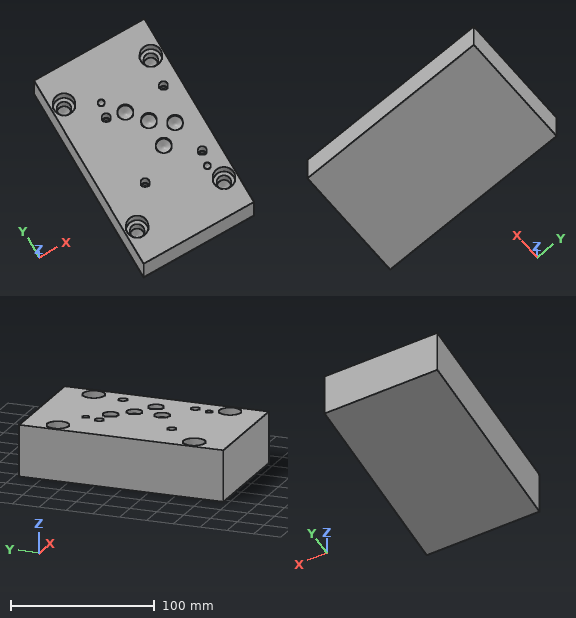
import cadquery as cq
import math

BLOCK_WIDTH = 88.9
BLOCK_LENGTH = 152.4
BLOCK_HEIGHT = 38.1

DRILL_POINT_ANGLE = 118.0

CORNER_SPACING_X = 69.85
CORNER_SPACING_Y = 101.6
COUNTERBORE_DIAMETER = 15.88
COUNTERBORE_DEPTH = 12.7
CORNER_HOLE_DIAMETER = 10.31
CORNER_HOLE_DEPTH = 25.4

VALVE_X = 8.73
VALVE_Y = 0.8

BOLT_SPACING_X = 46.0
BOLT_SPACING_Y = 54.0
THREAD_DIAMETER = 6.35
THREAD_DEPTH = 12.7
TAP_DRILL_DIAMETER = 5.11
TAP_DRILL_DEPTH = 19.05

PORT_DIAMETER = 11.11
PORT_DEPTH = 3.175
WORK_PORT_X = 1.65
WORK_PORT_SPACING = 20.6
PRESSURE_PORT_X = 16.7
TANK_PORT_X = -9.5
TANK_PORT_Y = 23.8

LOCATING_DIAMETER = 4.78
LOCATING_DEPTH = 1.4
LOCATING_SPACING_X = 41.275
LOCATING_SPACING_Y = 76.2


def drilled_hole(x, y, diameter, depth):
    """Cutter for a blind hole from the top face; depth excludes the conical drill point."""
    radius = diameter / 2
    point_length = radius / math.tan(math.radians(DRILL_POINT_ANGLE / 2))
    profile = (
        cq.Workplane("XZ")
        .polyline([(0, 0), (radius, 0), (radius, -depth), (0, -depth - point_length)])
        .close()
    )
    cutter = profile.revolve(360, (0, 0, 0), (0, 1, 0))
    return cutter.translate((x, y, BLOCK_HEIGHT))


def flat_bore(x, y, diameter, depth):
    """Cutter for a flat-bottomed bore from the top face."""
    cutter = cq.Workplane("XY").circle(diameter / 2).extrude(depth)
    return cutter.translate((x, y, BLOCK_HEIGHT - depth))


def rectangle_corners(center_x, center_y, spacing_x, spacing_y):
    """Corner points of a rectangular hole pattern."""
    return [
        (center_x + side_x * spacing_x / 2, center_y + side_y * spacing_y / 2)
        for side_x in (-1, 1)
        for side_y in (-1, 1)
    ]


def cut_corner_holes(body):
    for x, y in rectangle_corners(0, 0, CORNER_SPACING_X, CORNER_SPACING_Y):
        body = body.cut(flat_bore(x, y, COUNTERBORE_DIAMETER, COUNTERBORE_DEPTH))
        body = body.cut(drilled_hole(x, y, CORNER_HOLE_DIAMETER, CORNER_HOLE_DEPTH))
    return body


def cut_bolt_holes(body):
    for x, y in rectangle_corners(VALVE_X, VALVE_Y, BOLT_SPACING_X, BOLT_SPACING_Y):
        body = body.cut(flat_bore(x, y, THREAD_DIAMETER, THREAD_DEPTH))
        body = body.cut(drilled_hole(x, y, TAP_DRILL_DIAMETER, TAP_DRILL_DEPTH))
    return body


def cut_ports(body):
    ports = [
        (WORK_PORT_X, WORK_PORT_SPACING / 2),
        (WORK_PORT_X, -WORK_PORT_SPACING / 2),
        (PRESSURE_PORT_X, 0),
        (TANK_PORT_X, TANK_PORT_Y),
    ]
    for x, y in ports:
        body = body.cut(drilled_hole(VALVE_X + x, VALVE_Y + y, PORT_DIAMETER, PORT_DEPTH))
    return body


def cut_locating_holes(body):
    for side in (-1, 1):
        x = VALVE_X + side * LOCATING_SPACING_X / 2
        y = VALVE_Y - side * LOCATING_SPACING_Y / 2
        body = body.cut(drilled_hole(x, y, LOCATING_DIAMETER, LOCATING_DEPTH))
    return body


block = cq.Workplane("XY").box(
    BLOCK_WIDTH, BLOCK_LENGTH, BLOCK_HEIGHT, centered=(True, True, False)
)
block = cut_corner_holes(block)
block = cut_bolt_holes(block)
block = cut_ports(block)
result = cut_locating_holes(block)